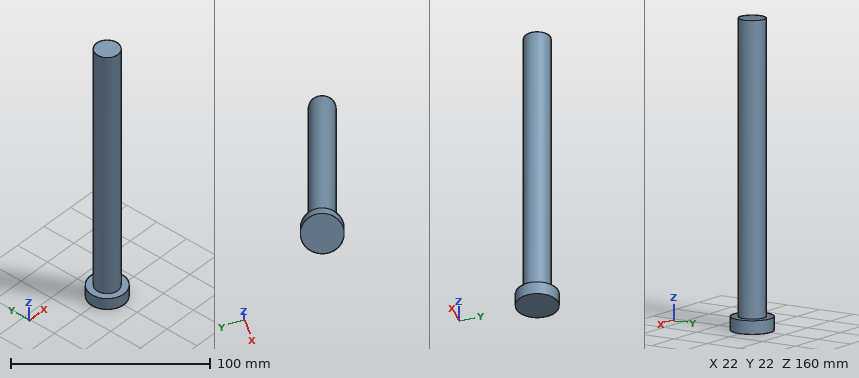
import cadquery as cq

total_length = 160.0
head_diameter = 22.0
head_thickness = 7.0
shank_diameter = 14.0

head = cq.Workplane("XY").circle(head_diameter / 2).extrude(head_thickness)
shank = cq.Workplane("XY").circle(shank_diameter / 2).extrude(total_length)

result = head.union(shank)